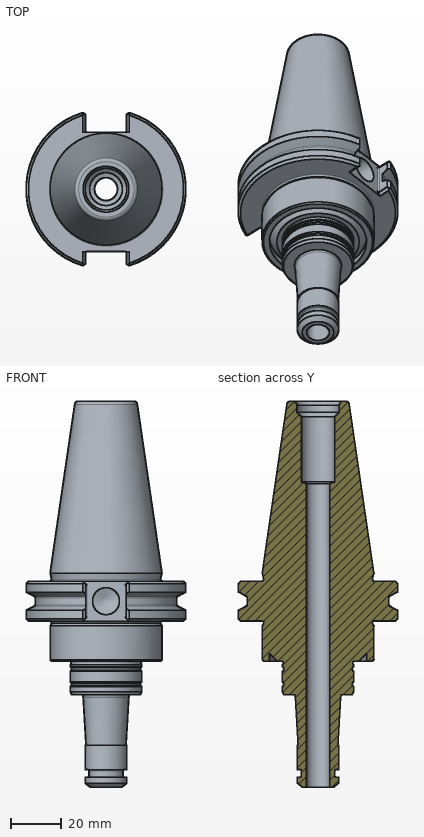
import cadquery as cq
import math


GAUGE_RADIUS = 44.45 / 2
TAPER_LENGTH = 68.2
TAPER_SLOPE = 7 / 48
NOSE_FILLET = 1.5
NOSE_RADIUS = GAUGE_RADIUS - TAPER_LENGTH * TAPER_SLOPE

FLANGE_RADIUS = 63.5 / 2
FLANGE_TOP = -3.2
FLANGE_BOTTOM = -19.1
FLANGE_MIDDLE = (FLANGE_TOP + FLANGE_BOTTOM) / 2
FLANGE_CHAMFER = 1.0
GRIP_GROOVE_RADIUS = 56.25 / 2
GRIP_GROOVE_FLOOR = 3.5
GRIP_GROOVE_RAMP_ANGLE = math.radians(27)
GRIP_GROOVE_RAMP = (FLANGE_RADIUS - GRIP_GROOVE_RADIUS) * math.tan(GRIP_GROOVE_RAMP_ANGLE)
GRIP_GROOVE_FILLET = 0.5

NECK_FILLET = 0.8
UPPER_NECK_RADIUS = 21.7
LOWER_NECK_RADIUS = 21.6
LOWER_NECK_FILLET = 0.8
LOWER_NECK_LENGTH = 1.85

SLOT_WIDTH = 16.2
FRONT_SLOT_FLOOR = 24.8
BACK_SLOT_FLOOR = 22.6
SLOT_CORNER_FILLET = 0.5
SLOT_CHAMFER = 1.1

DIMPLE_DIAMETER = 10.7
DIMPLE_DEPTH = 8.0
DRILL_HALF_ANGLE = math.radians(70)

BODY_RADIUS = 44.45 / 2
BODY_BOTTOM = -35.0
BODY_CHAMFER = 0.6

COLLAR_RADIUS = 28.5 / 2
COLLAR_BOTTOM = -48.3
COLLAR_CHAMFER_HEIGHT = 1.3
COLLAR_CHAMFER_WIDTH = 0.6
COLLAR_RELIEF_HEIGHT = 1.4
COLLAR_RELIEF_DEPTH = 0.35
RING_GROOVE_FLOOR = 0.95
RING_GROOVE_DEPTH = 0.5
RING_GROOVE_MIDDLES = (-38.05, -44.1)

TOTAL_LENGTH = 153.15
STUB_RADIUS = 16.5 / 2
STUB_BOTTOM = TAPER_LENGTH - TOTAL_LENGTH
STUB_CONE_TOP_RADIUS = 18.2 / 2
STUB_CONE_BOTTOM = -68.2
STUB_CONE_BOTTOM_RADIUS = 16.0 / 2
STUB_FLARE_HEIGHT = 0.9
STUB_FLARE_WIDTH = 0.25
END_GROOVE_TOP = -78.0
END_GROOVE_BOTTOM = -80.9
END_GROOVE_RADIUS = 13.53 / 2
END_GROOVE_FILLET = 0.4
END_RADIUS = 12.5 / 2
END_CHAMFER_HEIGHT = 1.6

THROUGH_RADIUS = 9.0 / 2
BORE_RADIUS = 13.0 / 2
BORE_DEPTH = 32.0
COUNTERBORE_RADIUS = 16.5 / 2
COUNTERBORE_DEPTH = 4.5
MOUTH_RADIUS = 18.2 / 2
MOUTH_DEPTH = 1.6

MARGIN = 5.0


def turned(sketch):
    """Revolve a closed profile, drawn as (radius, z), about the Z axis."""
    return sketch.close().revolve(360, (0, 0, 0), (0, 1, 0))


def distance_along_y(edge):
    """How far the middle of an edge lies from the XZ plane."""
    return abs(edge.Center().y)


def ring(inner_radius, outer_radius, bottom, top):
    """Square-sided ring about the Z axis."""
    height = top - bottom
    base = cq.Workplane("XY").workplane(offset=bottom)
    return base.circle(outer_radius).circle(inner_radius).extrude(height)


def concave_arc(sketch, start, end, corner):
    """Quarter round from start to end, hollowed toward the square corner between them."""
    centre = (start[0] + end[0] - corner[0], start[1] + end[1] - corner[1])
    radius = abs(start[0] - end[0])
    offset = radius * math.cos(math.radians(45))
    middle_radius = centre[0] + math.copysign(offset, corner[0] - centre[0])
    middle_height = centre[1] + math.copysign(offset, corner[1] - centre[1])
    return sketch.threePointArc((middle_radius, middle_height), end)


def make_taper():
    """Taper cone, with its relief neck running down into the flange."""
    neck_end = (UPPER_NECK_RADIUS, FLANGE_TOP + NECK_FILLET)
    fillet_end = (UPPER_NECK_RADIUS + NECK_FILLET, FLANGE_TOP)
    sketch = (
        cq.Workplane("XZ")
        .moveTo(0, TAPER_LENGTH)
        .lineTo(NOSE_RADIUS, TAPER_LENGTH)
        .lineTo(GAUGE_RADIUS, 0)
        .lineTo(*neck_end)
    )
    sketch = concave_arc(sketch, neck_end, fillet_end, (UPPER_NECK_RADIUS, FLANGE_TOP))
    sketch = sketch.lineTo(fillet_end[0], FLANGE_MIDDLE).lineTo(0, FLANGE_MIDDLE)
    return turned(sketch).faces(">Z").edges().fillet(NOSE_FILLET)


def make_slotted_disc():
    """Plain disc with the two drive slots, their wall rims chamfered and floor corners rounded."""
    height = FLANGE_TOP - FLANGE_BOTTOM
    base = cq.Workplane("XY").workplane(offset=FLANGE_BOTTOM)
    disc = base.circle(FLANGE_RADIUS).extrude(height)
    for side, floor in ((-1, FRONT_SLOT_FLOOR), (1, BACK_SLOT_FLOOR)):
        length = FLANGE_RADIUS + MARGIN - floor
        slot = base.center(0, side * (floor + length / 2)).rect(SLOT_WIDTH, length).extrude(height)
        disc = disc.cut(slot)

    rim_edges = []
    for wall in disc.faces("|X").vals():
        outward_edges = sorted(wall.Edges(), key=distance_along_y)
        rim_edges.extend(outward_edges[1:])
    disc = disc.newObject(rim_edges).chamfer(SLOT_CHAMFER)

    walls = disc.faces("|X").vals()
    floor_corners = [min(wall.Edges(), key=distance_along_y) for wall in walls]
    return disc.newObject(floor_corners).fillet(SLOT_CORNER_FILLET)


def make_flange():
    """Slotted disc trimmed to the turned flange profile, with its V groove."""
    ramp_start = GRIP_GROOVE_FLOOR / 2 + GRIP_GROOVE_RAMP
    rim = FLANGE_RADIUS - FLANGE_CHAMFER
    envelope = turned(
        cq.Workplane("XZ")
        .moveTo(0, FLANGE_TOP)
        .lineTo(rim, FLANGE_TOP)
        .lineTo(FLANGE_RADIUS, FLANGE_TOP - FLANGE_CHAMFER)
        .lineTo(FLANGE_RADIUS, FLANGE_MIDDLE + ramp_start)
        .lineTo(GRIP_GROOVE_RADIUS, FLANGE_MIDDLE + GRIP_GROOVE_FLOOR / 2)
        .lineTo(GRIP_GROOVE_RADIUS, FLANGE_MIDDLE - GRIP_GROOVE_FLOOR / 2)
        .lineTo(FLANGE_RADIUS, FLANGE_MIDDLE - ramp_start)
        .lineTo(FLANGE_RADIUS, FLANGE_BOTTOM + FLANGE_CHAMFER)
        .lineTo(rim, FLANGE_BOTTOM)
        .lineTo(0, FLANGE_BOTTOM)
    )
    smallest_circles = cq.selectors.RadiusNthSelector(0)
    groove_corners = envelope.edges("%CIRCLE").edges(smallest_circles)
    envelope = groove_corners.fillet(GRIP_GROOVE_FILLET)
    return make_slotted_disc().intersect(envelope)


def make_lower_body():
    """Body, collar and stub below the flange."""
    neck_start = (LOWER_NECK_RADIUS + LOWER_NECK_FILLET, FLANGE_BOTTOM)
    neck_end = (LOWER_NECK_RADIUS, FLANGE_BOTTOM - LOWER_NECK_FILLET)
    relief_middle = (COLLAR_RADIUS - COLLAR_RELIEF_DEPTH, BODY_BOTTOM - COLLAR_RELIEF_HEIGHT / 2)
    relief_end = (COLLAR_RADIUS, BODY_BOTTOM - COLLAR_RELIEF_HEIGHT)
    sketch = cq.Workplane("XZ").moveTo(0, FLANGE_MIDDLE).lineTo(neck_start[0], FLANGE_MIDDLE)
    sketch = sketch.lineTo(*neck_start)
    sketch = concave_arc(sketch, neck_start, neck_end, (LOWER_NECK_RADIUS, FLANGE_BOTTOM))
    sketch = (
        sketch.lineTo(BODY_RADIUS, FLANGE_BOTTOM - LOWER_NECK_LENGTH)
        .lineTo(BODY_RADIUS, BODY_BOTTOM + BODY_CHAMFER)
        .lineTo(BODY_RADIUS - BODY_CHAMFER, BODY_BOTTOM)
        .lineTo(COLLAR_RADIUS, BODY_BOTTOM)
        .threePointArc(relief_middle, relief_end)
        .lineTo(COLLAR_RADIUS, COLLAR_BOTTOM + COLLAR_CHAMFER_HEIGHT)
        .lineTo(COLLAR_RADIUS - COLLAR_CHAMFER_WIDTH, COLLAR_BOTTOM)
        .lineTo(STUB_CONE_TOP_RADIUS + STUB_FLARE_WIDTH, COLLAR_BOTTOM)
        .lineTo(STUB_CONE_TOP_RADIUS, COLLAR_BOTTOM - STUB_FLARE_HEIGHT)
        .lineTo(STUB_CONE_BOTTOM_RADIUS, STUB_CONE_BOTTOM)
        .lineTo(STUB_RADIUS, STUB_CONE_BOTTOM)
        .lineTo(STUB_RADIUS, STUB_BOTTOM + END_CHAMFER_HEIGHT)
        .lineTo(END_RADIUS, STUB_BOTTOM)
        .lineTo(0, STUB_BOTTOM)
    )
    return turned(sketch)


def make_bore():
    """Stepped bore, open at both ends."""
    cone_height = COUNTERBORE_RADIUS - BORE_RADIUS
    tip_height = (BORE_RADIUS - THROUGH_RADIUS) / math.tan(DRILL_HALF_ANGLE)
    return turned(
        cq.Workplane("XZ")
        .moveTo(0, TAPER_LENGTH)
        .lineTo(MOUTH_RADIUS, TAPER_LENGTH)
        .lineTo(COUNTERBORE_RADIUS, TAPER_LENGTH - MOUTH_DEPTH)
        .lineTo(COUNTERBORE_RADIUS, TAPER_LENGTH - COUNTERBORE_DEPTH)
        .lineTo(BORE_RADIUS, TAPER_LENGTH - COUNTERBORE_DEPTH - cone_height)
        .lineTo(BORE_RADIUS, TAPER_LENGTH - BORE_DEPTH)
        .lineTo(THROUGH_RADIUS, TAPER_LENGTH - BORE_DEPTH - tip_height)
        .lineTo(THROUGH_RADIUS, STUB_BOTTOM)
        .lineTo(0, STUB_BOTTOM)
    )


def make_dimple():
    """Blind drilled hole with a conical end, entering from the front slot floor along +Y."""
    radius = DIMPLE_DIAMETER / 2
    mouth = -FRONT_SLOT_FLOOR
    end = mouth + DIMPLE_DEPTH
    profile = (
        cq.Workplane("XY")
        .workplane(offset=FLANGE_MIDDLE)
        .moveTo(0, mouth)
        .lineTo(radius, mouth)
        .lineTo(radius, end)
        .lineTo(0, end + radius / math.tan(DRILL_HALF_ANGLE))
        .close()
    )
    return profile.revolve(360, (0, 0, 0), (0, 1, 0))


def make_ring_groove(middle):
    """Cutter for a collar groove whose walls slope at 45 degrees."""
    half_floor = RING_GROOVE_FLOOR / 2
    reach = RING_GROOVE_DEPTH + MARGIN
    inner = COLLAR_RADIUS - RING_GROOVE_DEPTH
    return turned(
        cq.Workplane("XZ")
        .moveTo(inner, middle - half_floor)
        .lineTo(inner, middle + half_floor)
        .lineTo(inner + reach, middle + half_floor + reach)
        .lineTo(inner + reach, middle - half_floor - reach)
    )


def make_end_groove():
    """Cutter for the straight-walled groove near the lower end, with rounded floor corners."""
    groove = ring(END_GROOVE_RADIUS, STUB_RADIUS + MARGIN, END_GROOVE_BOTTOM, END_GROOVE_TOP)
    smallest_circles = cq.selectors.RadiusNthSelector(0)
    return groove.edges("%CIRCLE").edges(smallest_circles).fillet(END_GROOVE_FILLET)


result = make_taper().union(make_flange()).union(make_lower_body())
for groove_middle in RING_GROOVE_MIDDLES:
    result = result.cut(make_ring_groove(groove_middle))
result = result.cut(make_end_groove())
result = result.cut(make_bore()).cut(make_dimple())